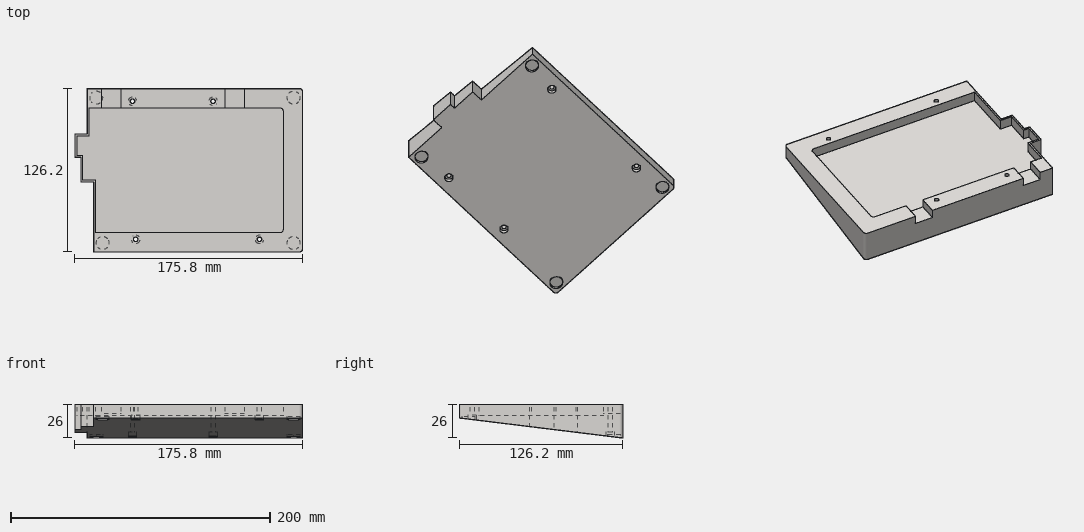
import cadquery as cq

length = 175.8
width = 126.2
back_height = 26.0
front_height = 10.5
corner_radius = 2.6

front_edge_x = 14.5
middle_edge_x = 4.5
tab_edge_x = 0.0
back_edge_x = 9.5
middle_start_y = 54.0
tab_start_y = 73.1
tab_end_y = 91.2

rim = 15.0
thin_wall = 1.5
pocket_depth = 8.5

channel_width = rim
channel_depth = 7.0
channel_starts = [20.5, 116.0]

screw_diameter = 3.3
counterbore_diameter = 6.5
counterbore_depth = 3.5
screw_inset = 9.8
front_screws_x = [47.0, 142.4]
back_screws_x = [44.5, 106.7]

foot_diameter = 10.0
foot_inset = 7.0
foot_depth = 2.0


def underside_z(y):
    """Height of the sloped underside at a given Y."""
    return (back_height - front_height) * (1 - y / width)


def stepped_plate(inset, wall, radius):
    """Full-height plate with the stepped left edge, inset by `wall` there and by `inset` elsewhere."""
    right = length - inset
    back = width - inset
    outline = [
        (front_edge_x + wall, inset),
        (right, inset),
        (right, back),
        (back_edge_x + wall, back),
        (back_edge_x + wall, tab_end_y - wall),
        (tab_edge_x + wall, tab_end_y - wall),
        (tab_edge_x + wall, tab_start_y + wall),
        (middle_edge_x + wall, tab_start_y + wall),
        (middle_edge_x + wall, middle_start_y + wall),
        (front_edge_x + wall, middle_start_y + wall),
    ]
    plate = cq.Workplane("XY").polyline(outline).close().extrude(back_height)
    return plate.edges("|Z and >X").fillet(radius)


def wedge():
    """Side profile of the part, extruded along its whole length."""
    profile = [(0, underside_z(0)), (width, underside_z(width)), (width, back_height), (0, back_height)]
    return cq.Workplane("YZ").polyline(profile).close().extrude(length)


def vertical_cylinder(x, y, diameter, top):
    """Cutter rising from the base level to height `top`."""
    return cq.Workplane("XY").center(x, y).circle(diameter / 2).extrude(top)


body = stepped_plate(0, 0, corner_radius).intersect(wedge())

pocket_floor = back_height - pocket_depth
body = body.cut(stepped_plate(rim, thin_wall, corner_radius).translate((0, 0, pocket_floor)))

for start_x in channel_starts:
    channel = cq.Workplane("XY").box(channel_width, rim, channel_depth, centered=False)
    body = body.cut(channel.translate((start_x, width - rim, back_height - channel_depth)))

screws = [(x, screw_inset) for x in front_screws_x]
screws += [(x, width - screw_inset) for x in back_screws_x]
for x, y in screws:
    body = body.cut(vertical_cylinder(x, y, screw_diameter, back_height))
    body = body.cut(vertical_cylinder(x, y, counterbore_diameter, underside_z(y) + counterbore_depth))

feet = [
    (front_edge_x + foot_inset, foot_inset),
    (length - foot_inset, foot_inset),
    (length - foot_inset, width - foot_inset),
    (back_edge_x + foot_inset, width - foot_inset),
]
for x, y in feet:
    body = body.cut(vertical_cylinder(x, y, foot_diameter, underside_z(y) + foot_depth))

result = body